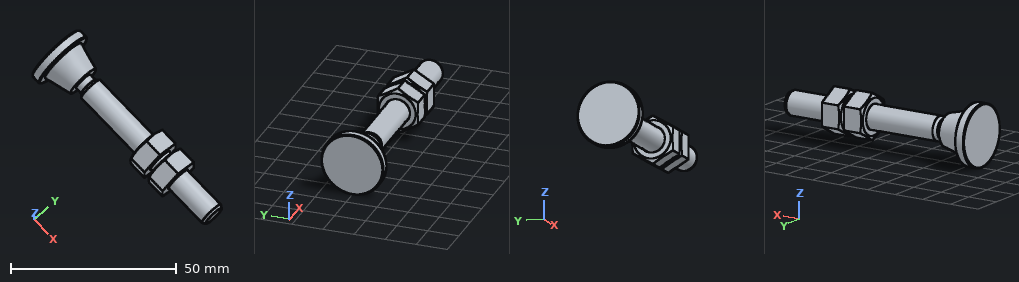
import cadquery as cq
import math


pad_diameter = 20.0
flange_thickness = 3.25
flange_chamfer = 0.3
cone_base_diameter = 15.2
cone_top_diameter = 10.75
pad_length = 12.0

total_length = 69.4
neck_diameter = 6.0
neck_length = 2.3
screw_diameter = 8.0
tip_chamfer_length = 1.0
tip_chamfer_angle = 30.0

nut_across_flats = 13.0
nut_height = 6.45
nut_bore_diameter = 8.1
nut_face_diameter = 11.8
nut_chamfer_angle = 20.0
nut_gap = 1.5
first_nut_start = 39.35
nut_count = 2


def revolve_about_x(profile):
    """Turn a closed (x, radius) outline into a solid about the X axis."""
    return cq.Workplane("XY").polyline(profile).close().revolve(360, (0, 0, 0), (1, 0, 0))


def make_pad():
    """Round flange with broken edges, carrying a tapered boss."""
    flange_radius = pad_diameter / 2
    chamfered_radius = flange_radius - flange_chamfer
    return revolve_about_x([
        (0, 0),
        (0, chamfered_radius),
        (flange_chamfer, flange_radius),
        (flange_thickness - flange_chamfer, flange_radius),
        (flange_thickness, chamfered_radius),
        (flange_thickness, cone_base_diameter / 2),
        (pad_length, cone_top_diameter / 2),
        (pad_length, 0),
    ])


def make_screw():
    """Plain shank with a narrow neck against the pad and a chamfered tip."""
    neck_radius = neck_diameter / 2
    screw_radius = screw_diameter / 2
    neck_end = pad_length + neck_length
    shank_start = neck_end + screw_radius - neck_radius
    tip_radius = screw_radius - tip_chamfer_length * math.tan(math.radians(tip_chamfer_angle))
    return revolve_about_x([
        (pad_length, 0),
        (pad_length, neck_radius),
        (neck_end, neck_radius),
        (shank_start, screw_radius),
        (total_length - tip_chamfer_length, screw_radius),
        (total_length, tip_radius),
        (total_length, 0),
    ])


def make_nut(start):
    """Hex nut with corners on +Z and -Z, its corners chamfered on the pad side."""
    corner_diameter = nut_across_flats / math.cos(math.radians(30))
    corner_radius = corner_diameter / 2
    face_radius = nut_face_diameter / 2
    chamfer_length = (corner_radius - face_radius) * math.tan(math.radians(nut_chamfer_angle))
    end = start + nut_height

    hexagon = (
        cq.Workplane("YZ", origin=(start, 0, 0))
        .transformed(rotate=(0, 0, 90))
        .polygon(6, corner_diameter)
        .extrude(nut_height)
    )
    bored_envelope = revolve_about_x([
        (start, nut_bore_diameter / 2),
        (start, face_radius),
        (start + chamfer_length, corner_radius),
        (end, corner_radius),
        (end, nut_bore_diameter / 2),
    ])
    return hexagon.intersect(bored_envelope)


pad = make_pad()
screw = make_screw()
nut_pitch = nut_height + nut_gap
nuts = [make_nut(first_nut_start + index * nut_pitch) for index in range(nut_count)]

result = cq.Compound.makeCompound([pad.val(), screw.val(), *[nut.val() for nut in nuts]])